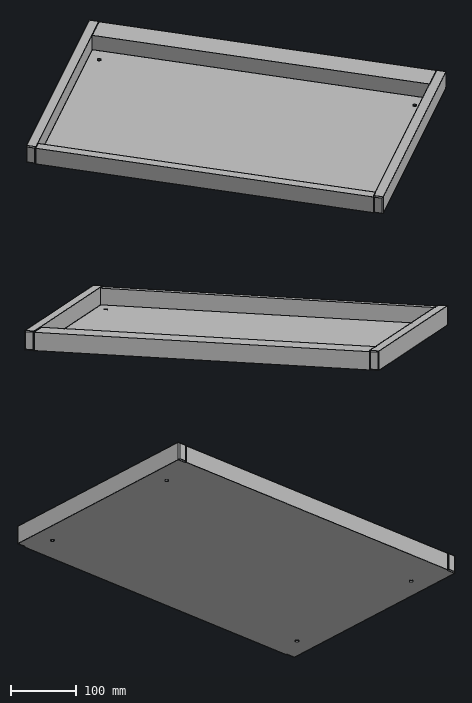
import cadquery as cq

length = 560.0
depth = 370.0
height = 30.0

rail_width = 15.0
rail_end_chamfer = 1.5
tray_height = 28.5

floor_thickness = 3.0
front_wall = 14.0
back_wall = 40.5

hole_diameter = 5.5
hole_spacing_x = 495.0
hole_front_y = -140.5
hole_back_y = 120.5


def make_tray():
    """Block between the rails, hollowed from above to leave floor and walls."""
    inner_length = length - 2 * rail_width
    block = cq.Workplane("XY").box(inner_length, depth, tray_height, centered=(True, True, False))
    pocket_depth = depth - front_wall - back_wall
    pocket = (
        cq.Workplane("XY")
        .box(inner_length, pocket_depth, tray_height, centered=(True, True, False))
        .translate((0, (front_wall - back_wall) / 2, floor_thickness))
    )
    return block.cut(pocket)


def make_rail(side):
    """Full-depth rail on the given side (-1 or 1), chamfered around both end faces."""
    return (
        cq.Workplane("XY")
        .box(rail_width, depth, height, centered=(True, True, False))
        .faces("<Y or >Y")
        .edges()
        .chamfer(rail_end_chamfer)
        .translate((side * (length - rail_width) / 2, 0, 0))
    )


def make_holes():
    """Cutters for the four through holes in the floor."""
    centers = [
        (side * hole_spacing_x / 2, y)
        for side in (-1, 1)
        for y in (hole_front_y, hole_back_y)
    ]
    return cq.Workplane("XY").pushPoints(centers).circle(hole_diameter / 2).extrude(floor_thickness)


result = make_tray()
for side in (-1, 1):
    result = result.union(make_rail(side))
result = result.cut(make_holes())